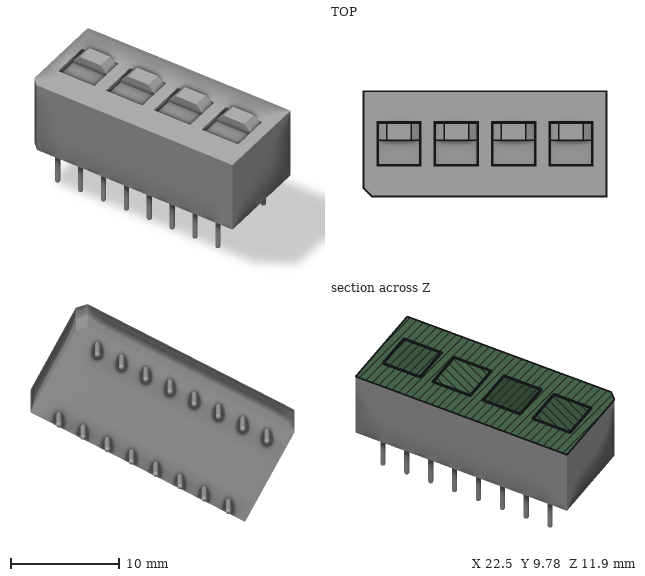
import cadquery as cq

housing_length = 22.5
housing_width = 9.78
housing_height = 7.6
corner_cut = 0.8

pin_diameter = 0.48
pin_length = 3.81
pin_tip_radius = 0.22
pin_pitch = 2.54
pins_per_row = 8
row_spacing = 3 * pin_pitch
pin_shift = 0.04

slider_count = 4
slider_pitch = 5.31
window_size = 4.06
plate_clearance = 0.1
plate_size = window_size - 2 * plate_clearance

plate_drop = 0.5
plate_thickness = 0.5
window_depth = plate_drop + plate_thickness
knob_rise = 0.5
knob_height = plate_drop + knob_rise
knob_chamfer = 0.8
knob_width = 1.6

slider_places = [
    ((i - (slider_count - 1) / 2) * slider_pitch, 0)
    for i in range(slider_count)
]


def make_pins():
    """Pins with rounded tips, hanging from the housing underside."""
    return (
        cq.Workplane("XY", origin=(pin_shift, 0, 0))
        .rarray(pin_pitch, row_spacing, pins_per_row, 2)
        .circle(pin_diameter / 2)
        .extrude(-pin_length)
        .faces("<Z")
        .fillet(pin_tip_radius)
    )


def make_housing():
    """Block with a cut corner at -X -Y, slider windows and fixed pins."""
    block = (
        cq.Workplane("XY")
        .rect(housing_length, housing_width)
        .extrude(housing_height)
        .edges("|Z and <X and <Y")
        .chamfer(corner_cut)
    )
    windows = (
        cq.Workplane("XY", origin=(0, 0, housing_height - window_depth))
        .pushPoints(slider_places)
        .rect(window_size, window_size)
        .extrude(window_depth)
    )
    return block.cut(windows).union(make_pins())


def make_slider(place):
    """Plate resting on the window floor, with a knob chamfered at both X ends."""
    x, y = place
    plate_bottom = housing_height - window_depth
    plate_top = plate_bottom + plate_thickness
    plate = (
        cq.Workplane("XY", origin=(x, y, plate_bottom))
        .rect(plate_size, plate_size)
        .extrude(plate_thickness)
    )
    knob = (
        cq.Workplane("XY", origin=(x, y + (plate_size - knob_width) / 2, plate_top))
        .rect(plate_size, knob_width)
        .extrude(knob_height)
        .edges("|Y and >Z")
        .chamfer(knob_chamfer)
    )
    return plate.union(knob)


housing = make_housing()
sliders = [make_slider(place) for place in slider_places]

result = cq.Compound.makeCompound([housing.val(), *[slider.val() for slider in sliders]])